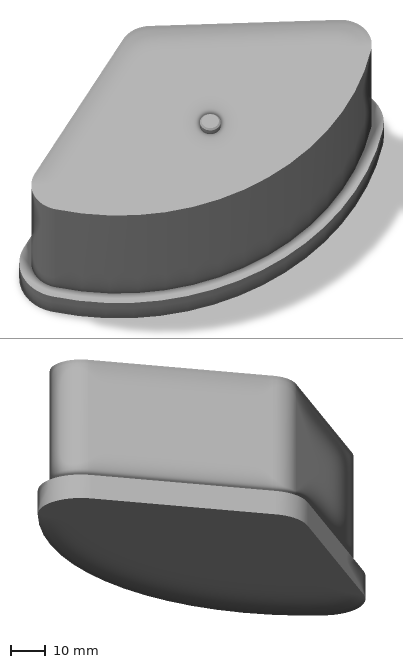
import cadquery as cq
import math

total_width = 119.5
total_depth = 72.7
total_height = 46.7
flange_thickness = 7.3
flange_overhang = 3.5
body_height = 37.2
body_corner_radius = 9.0
sector_half_angle = math.radians(60)
pin_diameter = 6.0
pin_chamfer = 0.5
pin_x = 32.0

flange_corner_radius = body_corner_radius + flange_overhang
corner_y = total_width / 2 - flange_corner_radius
corner_x = corner_y / math.tan(sector_half_angle)

core_front_x = total_depth - 2 * flange_corner_radius
core_sagitta = core_front_x - corner_x
core_radius = (corner_y**2 + core_sagitta**2) / (2 * core_sagitta)
arc_center_x = core_front_x - core_radius
arc_half_angle = math.atan2(corner_y, corner_x - arc_center_x)
side_normal_angle = sector_half_angle + math.pi / 2


def rounded_sector(radius, bottom, height):
    """Extruded 120 degree sector whose three corners are rounded with the given radius."""

    def upper_corner(angle):
        return (corner_x + radius * math.cos(angle), corner_y + radius * math.sin(angle))

    def mirrored(point):
        return (point[0], -point[1])

    apex_tangent = (radius * math.cos(side_normal_angle), radius * math.sin(side_normal_angle))
    side_end = upper_corner(side_normal_angle)
    corner_middle = upper_corner((side_normal_angle + arc_half_angle) / 2)
    arc_start = upper_corner(arc_half_angle)
    arc_middle = (core_front_x + radius, 0)

    return (
        cq.Workplane("XY")
        .workplane(offset=bottom)
        .moveTo(*apex_tangent)
        .lineTo(*side_end)
        .threePointArc(corner_middle, arc_start)
        .threePointArc(arc_middle, mirrored(arc_start))
        .threePointArc(mirrored(corner_middle), mirrored(side_end))
        .lineTo(*mirrored(apex_tangent))
        .threePointArc((-radius, 0), apex_tangent)
        .close()
        .extrude(height)
    )


def locating_pin():
    """Short pin on top of the body with a chamfered rim."""
    pin_bottom = flange_thickness + body_height
    return (
        cq.Workplane("XY")
        .workplane(offset=pin_bottom)
        .center(pin_x, 0)
        .circle(pin_diameter / 2)
        .extrude(total_height - pin_bottom)
        .faces(">Z")
        .chamfer(pin_chamfer)
    )


flange = rounded_sector(flange_corner_radius, 0, flange_thickness)
body = rounded_sector(body_corner_radius, flange_thickness, body_height)
result = flange.union(body).union(locating_pin())